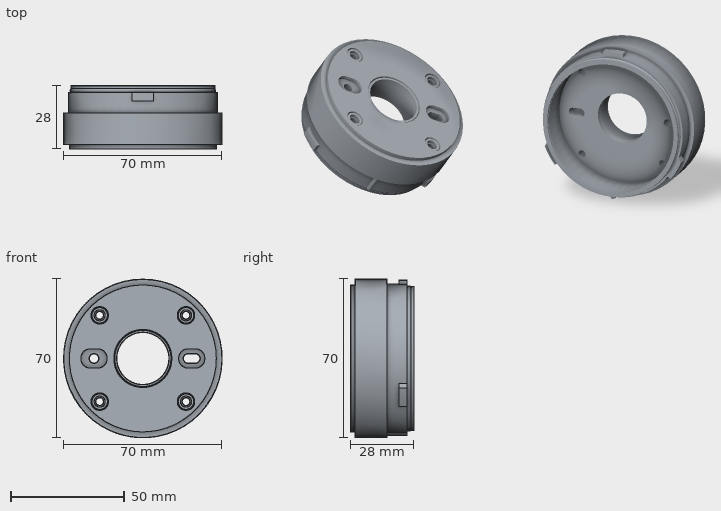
import cadquery as cq
import math


total_length = 28
pad_thickness = 2.0
flange_length = 14
rim_length = 1.3
groove_width = 1.75
plate_back_y = 12.95
flange_back_y = pad_thickness + flange_length
rim_y = total_length - rim_length
shoulder_y = rim_y - groove_width

pad_radius = 32.4
flange_radius = 35
barrel_radius = 32.9
rim_radius = 31.8
cavity_radius = 29.6
mouth_radius = 29.75
bore_radius = 11.5

seal_radius = groove_width / 2
seal_proud = 0.3
seal_centre_radius = rim_radius + seal_proud - seal_radius
groove_radius = seal_centre_radius - seal_radius

boss_recess = 0.4
boss_clearance = 0.4
bore_boss_radius = 12.4

screw_offset = 19.05
screw_boss_radius = 3.4
screw_head_radius = 2.45
screw_head_depth = 1.55
screw_radius = 1.7

locator_offset = 21.55
window_length = 11.6
window_width = 8.55
locator_diameter = 4.1
locator_slot_length = 7.35

key_outer_radius = 34.65
key_root_radius = 31.85
key_width = 9.4
key_length = 3.65
key_spacing = 120
lead_in_angle = 30
rib_radius = 1.05

screw_centres = [(x, z) for x in (-screw_offset, screw_offset) for z in (-screw_offset, screw_offset)]
hole_centre = (-locator_offset, 0)
slot_centre = (locator_offset, 0)


def section_at(y):
    """Plane across the axis, with local x along X and local y along Z."""
    return cq.Workplane("XZ", origin=(0, y, 0))


def revolve_profile(points):
    """Solid of revolution about Y from (radius, y) points."""
    return cq.Workplane("ZY").polyline(points).close().revolve(360, (0, 0, 0), (0, 1, 0))


def make_front_pad():
    """Flat disc with clearance holes around the bosses and windows over the locators."""
    pad = section_at(0).circle(pad_radius).circle(bore_boss_radius + boss_clearance).extrude(-pad_thickness)
    screw_clearances = section_at(0).pushPoints(screw_centres).circle(screw_boss_radius + boss_clearance)
    windows = section_at(0).pushPoints([hole_centre, slot_centre]).slot2D(window_length, window_width)
    return pad.cut(screw_clearances.extrude(-pad_thickness)).cut(windows.extrude(-pad_thickness))


def make_key(left_lead_in, right_lead_in):
    """Key at the top of the barrel, each flank square or sloping outward to its base."""
    half_width = key_width / 2
    flare = (key_outer_radius - key_root_radius) * math.tan(math.radians(lead_in_angle))
    left_base = half_width + (flare if left_lead_in else 0)
    right_base = half_width + (flare if right_lead_in else 0)
    corner_height = math.sqrt(key_outer_radius**2 - half_width**2)
    return (
        section_at(shoulder_y - key_length)
        .moveTo(-left_base, key_root_radius)
        .lineTo(-half_width, corner_height)
        .threePointArc((0, key_outer_radius), (half_width, corner_height))
        .lineTo(right_base, key_root_radius)
        .close()
        .extrude(-key_length)
    )


def add_keys(housing):
    """One square key on top and two lower keys with a lead-in on their upper flank."""
    top_key = make_key(False, False)
    left_key = make_key(False, True).rotate((0, 0, 0), (0, 1, 0), -key_spacing)
    right_key = make_key(True, False).rotate((0, 0, 0), (0, 1, 0), key_spacing)
    return housing.union(top_key).union(left_key).union(right_key)


def add_index_rib(housing):
    """Round rib along the bottom of the barrel."""
    rib = section_at(flange_back_y).center(0, -barrel_radius).circle(rib_radius)
    return housing.union(rib.extrude(flange_back_y - shoulder_y))


def add_screw_bosses(housing):
    """Four bosses on the front face, each with a stepped hole through the plate."""
    boss_plane = section_at(boss_recess).pushPoints(screw_centres)
    bosses = boss_plane.circle(screw_boss_radius).extrude(boss_recess - pad_thickness)
    heads = boss_plane.circle(screw_head_radius).extrude(-screw_head_depth)
    shanks = boss_plane.circle(screw_radius).extrude(boss_recess - plate_back_y)
    return housing.union(bosses).cut(heads).cut(shanks)


def cut_locators(housing):
    """Locating hole on the -X side and locating slot on the +X side, through the plate."""
    depth = plate_back_y - pad_thickness
    hole = section_at(pad_thickness).center(*hole_centre).circle(locator_diameter / 2)
    slot = section_at(pad_thickness).center(*slot_centre).slot2D(locator_slot_length, locator_diameter)
    return housing.cut(hole.extrude(-depth)).cut(slot.extrude(-depth))


def make_housing():
    """Flanged housing with a thick front plate, an open rear cavity and a sealing ring groove."""
    housing = revolve_profile([
        (bore_radius, boss_recess),
        (bore_boss_radius, boss_recess),
        (bore_boss_radius, pad_thickness),
        (flange_radius, pad_thickness),
        (flange_radius, flange_back_y),
        (barrel_radius, flange_back_y),
        (barrel_radius, shoulder_y),
        (groove_radius, shoulder_y),
        (groove_radius, rim_y),
        (rim_radius, rim_y),
        (rim_radius, total_length),
        (mouth_radius, total_length),
        (mouth_radius, rim_y),
        (cavity_radius, rim_y),
        (cavity_radius, plate_back_y),
        (bore_radius, plate_back_y),
    ])
    housing = add_keys(housing)
    housing = add_index_rib(housing)
    housing = add_screw_bosses(housing)
    return cut_locators(housing)


def make_sealing_ring():
    """Round-section ring seated in the groove."""
    centre = cq.Vector(0, (shoulder_y + rim_y) / 2, 0)
    return cq.Solid.makeTorus(seal_centre_radius, seal_radius, centre, cq.Vector(0, 1, 0))


front_pad = make_front_pad()
housing = make_housing()
sealing_ring = make_sealing_ring()

result = cq.Compound.makeCompound([front_pad.val(), housing.val(), sealing_ring])